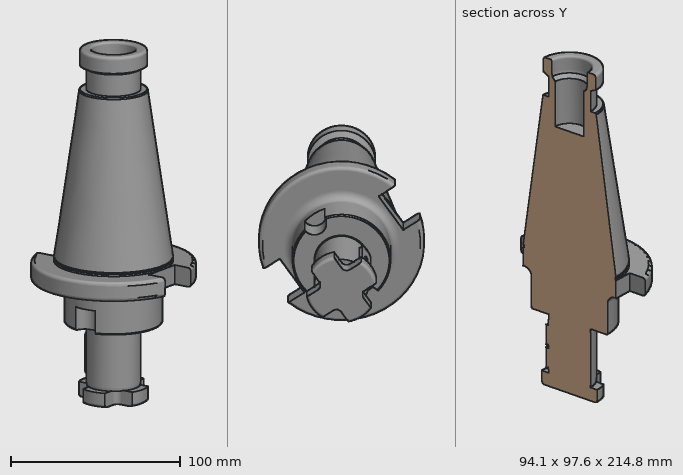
import cadquery as cq
import math

screw_head_height = 9.0
arbor_relief_top = 10.7
relief_groove_bottom = 44.2
relief_groove_top = 46.2
collar_bottom = 47.0
collar_groove_top = 61.5
flange_bottom = 73.0
flange_top = 84.8
taper_groove_bottom = 85.7
taper_groove_top = 86.5
taper_bottom = 87.2
taper_rim = 189.0
taper_top = 189.9
knob_neck_top = 203.0
knob_rim_bottom = 205.0
total_height = 214.8

arbor_radius = 16.1
arbor_relief_radius = 16.0
collar_radius = 29.0
flange_radius = 48.8
taper_groove_radius = 34.5
taper_large_radius = 35.2
taper_slope = 7 / 48
knob_radius = 20.0

collar_chamfer = 0.9
collar_fillet = 5.2
flange_fillet = 2.1
taper_rim_chamfer = 0.6
knob_fillet = 2.0

bore_radius = 13.0
bore_mouth_fillet = 1.5
bore_depth = 9.2
lead_in_radius = 12.9
lead_in_depth = 11.0
thread_radius = 10.7
seat_depth = 13.5
thread_depth = 43.0

drive_slot_width = 25.8
drive_slot_floor = 35.2

collar_groove_radius = 7.0
collar_groove_axis = 28.4

key_width = 8.5
key_length = 28.0
key_middle = 26.0
key_seat = 10.7
key_face = 17.8
key_hole_radius = 1.0
key_hole_depth = 2.1

screw_head_radius = 21.0
screw_head_fillet = 2.0
arm_width = 16.0
arm_corner_radius = 3.5


def turned_body():
    """Everything round from the arbor up to the retention knob."""
    taper_small_radius = taper_large_radius - taper_slope * (taper_rim - taper_bottom)
    arc_offset = collar_fillet * (1 - math.sqrt(0.5))
    edge_offset = flange_fillet * (1 - math.sqrt(0.5))
    knob_offset = knob_fillet * (1 - math.sqrt(0.5))
    profile = (
        cq.Workplane("XZ")
        .moveTo(0, screw_head_height)
        .lineTo(arbor_relief_radius, screw_head_height)
        .lineTo(arbor_radius, arbor_relief_top)
        .lineTo(arbor_radius, relief_groove_bottom)
        .lineTo(arbor_relief_radius, relief_groove_top)
        .lineTo(arbor_radius, collar_bottom)
        .lineTo(collar_radius - collar_chamfer, collar_bottom)
        .lineTo(collar_radius, collar_bottom + collar_chamfer)
        .lineTo(collar_radius, flange_bottom - collar_fillet)
        .threePointArc(
            (collar_radius + arc_offset, flange_bottom - arc_offset),
            (collar_radius + collar_fillet, flange_bottom),
        )
        .lineTo(flange_radius - flange_fillet, flange_bottom)
        .threePointArc(
            (flange_radius - edge_offset, flange_bottom + edge_offset),
            (flange_radius, flange_bottom + flange_fillet),
        )
        .lineTo(flange_radius, flange_top - flange_fillet)
        .threePointArc(
            (flange_radius - edge_offset, flange_top - edge_offset),
            (flange_radius - flange_fillet, flange_top),
        )
        .lineTo(taper_large_radius, flange_top)
        .lineTo(taper_groove_radius, taper_groove_bottom)
        .lineTo(taper_groove_radius, taper_groove_top)
        .lineTo(taper_large_radius, taper_bottom)
        .lineTo(taper_small_radius, taper_rim)
        .lineTo(taper_small_radius - taper_rim_chamfer, taper_top)
        .lineTo(arbor_radius, taper_top)
        .lineTo(arbor_radius, knob_neck_top)
        .lineTo(knob_radius, knob_rim_bottom)
        .lineTo(knob_radius, total_height - knob_fillet)
        .threePointArc(
            (knob_radius - knob_offset, total_height - knob_offset),
            (knob_radius - knob_fillet, total_height),
        )
        .lineTo(0, total_height)
        .close()
    )
    return profile.revolve(360, (0, 0, 0), (0, 1, 0))


def drawbar_bore():
    """Stepped bore: rounded mouth, slight lead-in, conical seat, then the threaded hole."""
    mouth_offset = bore_mouth_fillet * (1 - math.sqrt(0.5))
    profile = (
        cq.Workplane("XZ")
        .moveTo(0, total_height)
        .lineTo(bore_radius + bore_mouth_fillet, total_height)
        .threePointArc(
            (bore_radius + mouth_offset, total_height - mouth_offset),
            (bore_radius, total_height - bore_mouth_fillet),
        )
        .lineTo(bore_radius, total_height - bore_depth)
        .lineTo(lead_in_radius, total_height - lead_in_depth)
        .lineTo(thread_radius, total_height - seat_depth)
        .lineTo(thread_radius, total_height - thread_depth)
        .lineTo(0, total_height - thread_depth)
        .close()
    )
    return profile.revolve(360, (0, 0, 0), (0, 1, 0))


def drive_slots():
    """Two slots that cut through the flange on the X axis."""
    slot_depth = flange_radius - drive_slot_floor
    slots = cq.Workplane("XY").workplane(offset=flange_bottom)
    middle = drive_slot_floor + slot_depth / 2
    return (
        slots.pushPoints([(-middle, 0), (middle, 0)])
        .rect(slot_depth, drive_slot_width)
        .extrude(flange_top - flange_bottom)
    )


def collar_grooves():
    """Two half-round grooves, open at the collar's lower face, on the Y axis."""
    return (
        cq.Workplane("XY")
        .workplane(offset=collar_bottom)
        .pushPoints([(0, -collar_groove_axis), (0, collar_groove_axis)])
        .circle(collar_groove_radius)
        .extrude(collar_groove_top - collar_bottom)
    )


def feather_key():
    """Round-ended key on the -X side of the arbor with a small blind hole."""
    key = (
        cq.Workplane("YZ")
        .workplane(offset=-key_face)
        .center(0, key_middle)
        .slot2D(key_length, key_width, 90)
        .extrude(key_face - key_seat)
    )
    hole = (
        cq.Workplane("YZ")
        .workplane(offset=-key_face)
        .center(0, key_middle)
        .circle(key_hole_radius)
        .extrude(key_hole_depth)
    )
    return key.cut(hole)


def screw_head():
    """Four arms with rounded inner corners, trimmed to a disc with a rounded lower rim."""
    arm_length = 2 * screw_head_radius + arm_width
    along_x = cq.Workplane("XY").rect(arm_length, arm_width).extrude(screw_head_height)
    along_y = cq.Workplane("XY").rect(arm_width, arm_length).extrude(screw_head_height)
    half = arm_width / 2
    inner_corners = cq.selectors.BoxSelector(
        (-half - 0.2, -half - 0.2, -2.1), (half + 0.2, half + 0.2, screw_head_height + 2.1)
    )
    cross = along_x.union(along_y).edges("|Z").edges(inner_corners).fillet(arm_corner_radius)
    disc = (
        cq.Workplane("XY")
        .circle(screw_head_radius)
        .extrude(screw_head_height)
        .faces("<Z")
        .edges()
        .fillet(screw_head_fillet)
    )
    return cross.intersect(disc)


result = (
    turned_body()
    .cut(drawbar_bore())
    .cut(drive_slots())
    .cut(collar_grooves())
    .union(feather_key())
    .union(screw_head())
)